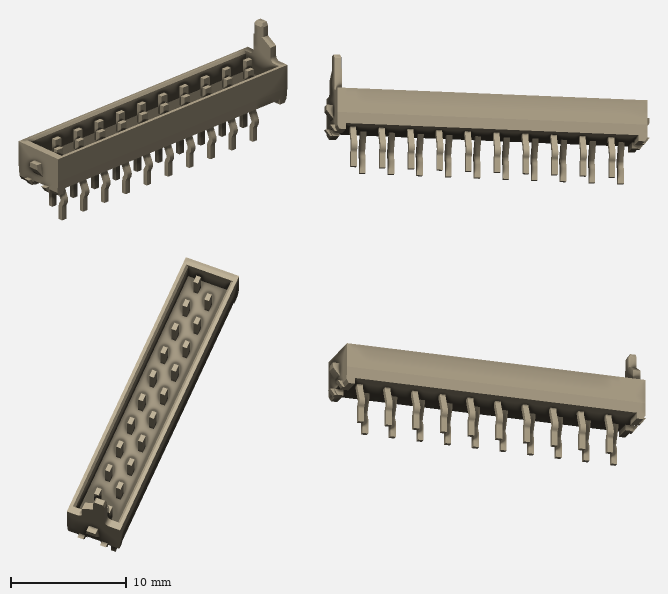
import cadquery as cq
import math


body_width = 5.0
body_length = 27.45
rim_z = 3.63
floor_z = 1.75
underside_z = 0.51
taper_start_z = 1.45
base_width = 4.72

cavity_width = 4.0
end_wall = 0.7
lead_in_width = 0.2
lead_in_height = 0.23

foot_length = 0.77
foot_gap = 1.3
foot_chamfer_height = 0.35
foot_chamfer_length = 0.2

peg_width = 0.55
peg_x = 1.05
peg_top_z = 0.57
peg_reach = 0.43

latch_reach = 0.57
latch_top_z = 2.52
latch_face_z = 2.03
latch_bottom_z = 1.25
latch_top_width = 0.85
latch_bottom_width = 1.2

key_left_x = -1.05
key_step_x = 0.05
key_right_x = 1.1
key_top_z = 6.92
key_step_z = 5.63
key_shoulder_z = 5.0
key_root_radius = 0.43
key_tip_height = 0.35
key_tip_inset = 0.17
key_corner_width = 0.2
key_corner_depth = 0.11

contact_count = 20
contact_span = 24.12
contact_pitch = contact_span / (contact_count - 1)
contact_x = 0.77
contact_thickness = 0.43
pin_width = 0.7
pin_top_z = 3.55
lead_width = 0.51
lead_bottom_z = -3.1
lead_top_z = 1.15
lead_foot_x = 1.3
lead_foot_top_z = -1.9
lead_slope_length = 1.17
foot_bend_angle = 38
foot_bend_radius = 0.6
upper_bend_angle = 24
upper_bend_radius = 0.85
knee_bend_radius = 0.51

half_length = body_length / 2
embed = 0.3


def make_housing():
    """Open-topped box with tapered lower sides, raised off the board by two pairs of feet."""
    outline = [
        (-base_width / 2, 0),
        (base_width / 2, 0),
        (body_width / 2, taper_start_z),
        (body_width / 2, rim_z),
        (-body_width / 2, rim_z),
        (-body_width / 2, taper_start_z),
    ]
    housing = cq.Workplane("XZ").polyline(outline).close().extrude(half_length, both=True)
    between_feet = cq.Workplane("XY").box(
        body_width, body_length - 2 * foot_length, underside_z, centered=(True, True, False)
    )
    middle_gap = cq.Workplane("XY").box(
        foot_gap, body_length, underside_z, centered=(True, True, False)
    )
    housing = housing.cut(between_feet).cut(middle_gap).cut(make_cavity())
    foot_bevel = (
        cq.Workplane("YZ")
        .polyline([
            (half_length, 0),
            (half_length, foot_chamfer_height),
            (half_length - foot_chamfer_length, 0),
        ])
        .close()
        .extrude(body_width / 2, both=True)
    )
    return housing.cut(foot_bevel).cut(foot_bevel.mirror("XZ"))


def make_cavity():
    """Cavity volume, widened by a sloped lead-in along both long rims."""
    half_width = cavity_width / 2
    half_mouth = half_width + lead_in_width
    lead_in_z = rim_z - lead_in_height
    outline = [
        (-half_width, floor_z),
        (half_width, floor_z),
        (half_width, lead_in_z),
        (half_mouth, rim_z),
        (-half_mouth, rim_z),
        (-half_width, lead_in_z),
    ]
    return cq.Workplane("XZ").polyline(outline).close().extrude(half_length - end_wall, both=True)


def make_key():
    """Stepped key with filleted roots, a tapered tip and two chamfered inner corners."""
    inner_y = half_length - end_wall
    key = (
        cq.Workplane("XZ", origin=(0, half_length, 0))
        .moveTo(key_left_x - key_root_radius, rim_z - embed)
        .lineTo(key_left_x - key_root_radius, rim_z)
        .radiusArc((key_left_x, rim_z + key_root_radius), -key_root_radius)
        .lineTo(key_left_x, key_top_z - key_tip_height)
        .lineTo(key_left_x + key_tip_inset, key_top_z)
        .lineTo(key_step_x - key_tip_inset, key_top_z)
        .lineTo(key_step_x, key_top_z - key_tip_height)
        .lineTo(key_step_x, key_step_z)
        .lineTo(key_right_x, key_shoulder_z)
        .lineTo(key_right_x, rim_z + key_root_radius)
        .radiusArc((key_right_x + key_root_radius, rim_z), -key_root_radius)
        .lineTo(key_right_x + key_root_radius, rim_z - embed)
        .close()
        .extrude(end_wall)
    )
    tip_slope = (
        cq.Workplane("YZ", origin=(key_left_x, 0, 0))
        .polyline([
            (inner_y, key_top_z - key_tip_height),
            (inner_y + key_tip_inset, key_top_z),
            (inner_y, key_top_z),
        ])
        .close()
        .extrude(key_step_x - key_left_x)
    )
    key = key.cut(tip_slope)
    for corner_x, inward in ((key_left_x, 1), (key_step_x, -1)):
        corner = (
            cq.Workplane("XY", origin=(0, 0, key_step_z))
            .polyline([
                (corner_x, inner_y),
                (corner_x + inward * key_corner_width, inner_y),
                (corner_x, inner_y + key_corner_depth),
            ])
            .close()
            .extrude(key_top_z - key_step_z)
        )
        key = key.cut(corner)
    return key


def make_end_features():
    """Latch nose and two wedge pegs for the +Y end."""
    root_y = half_length - embed
    latch_side = [
        (root_y, latch_top_z),
        (half_length + latch_reach, latch_top_z),
        (half_length + latch_reach, latch_face_z),
        (half_length, latch_bottom_z),
        (root_y, latch_bottom_z),
    ]
    latch_front = [
        (-latch_top_width / 2, latch_top_z),
        (latch_top_width / 2, latch_top_z),
        (latch_bottom_width / 2, latch_bottom_z),
        (-latch_bottom_width / 2, latch_bottom_z),
    ]
    latch = cq.Workplane("YZ").polyline(latch_side).close().extrude(body_width / 2, both=True)
    latch = latch.intersect(
        cq.Workplane("XZ").polyline(latch_front).close().extrude(-half_length - latch_reach)
    )
    peg_side = [
        (root_y, peg_top_z),
        (half_length + peg_reach, peg_top_z),
        (half_length, 0),
        (root_y, 0),
    ]
    features = latch
    for x in (-peg_x, peg_x):
        peg = (
            cq.Workplane("YZ", origin=(x, 0, 0))
            .polyline(peg_side)
            .close()
            .extrude(peg_width / 2, both=True)
        )
        features = features.union(peg)
    return features


def bend_end(start, radius, start_angle, end_angle):
    """End point of an arc climbing from `start`; angles lean from +Z towards +X, in degrees."""
    first = math.radians(start_angle)
    last = math.radians(end_angle)
    side = 1 if end_angle > start_angle else -1
    return (
        start[0] + side * radius * (math.cos(first) - math.cos(last)),
        start[1] + side * radius * (math.sin(last) - math.sin(first)),
    )


def make_lead_path():
    """Centreline of the lead, from its tip: up, out, round the knee, in, and up into the floor."""
    slope_angle = math.radians(upper_bend_angle)
    foot_top = (lead_foot_x, lead_foot_top_z)
    knee_start = bend_end(foot_top, foot_bend_radius, 0, foot_bend_angle)
    knee_end = bend_end(knee_start, knee_bend_radius, foot_bend_angle, -upper_bend_angle)
    slope_end = (
        knee_end[0] - lead_slope_length * math.sin(slope_angle),
        knee_end[1] + lead_slope_length * math.cos(slope_angle),
    )
    upper_end = bend_end(slope_end, upper_bend_radius, -upper_bend_angle, 0)
    return (
        cq.Workplane("XZ")
        .moveTo(lead_foot_x, lead_bottom_z)
        .lineTo(*foot_top)
        .tangentArcPoint(knee_start, relative=False)
        .tangentArcPoint(knee_end, relative=False)
        .lineTo(*slope_end)
        .tangentArcPoint(upper_end, relative=False)
        .lineTo(upper_end[0], lead_top_z)
    )


def make_contact():
    """Contact of the +X row at Y = 0: a straight pin above and a kinked lead below."""
    pin = (
        cq.Workplane("XY", origin=(contact_x, 0, underside_z + embed))
        .rect(contact_thickness, pin_width)
        .extrude(pin_top_z - underside_z - embed)
    )
    lead = (
        cq.Workplane("XY", origin=(lead_foot_x, 0, lead_bottom_z))
        .rect(contact_thickness, lead_width)
        .sweep(make_lead_path())
    )
    return pin.union(lead)


result = make_housing().union(make_key())

end_features = make_end_features()
result = result.union(end_features).union(end_features.mirror("XZ"))

right_contact = make_contact()
left_contact = right_contact.mirror("YZ")
for index in range(contact_count):
    contact = right_contact if index % 2 == 0 else left_contact
    result = result.union(contact.translate((0, index * contact_pitch - contact_span / 2, 0)))